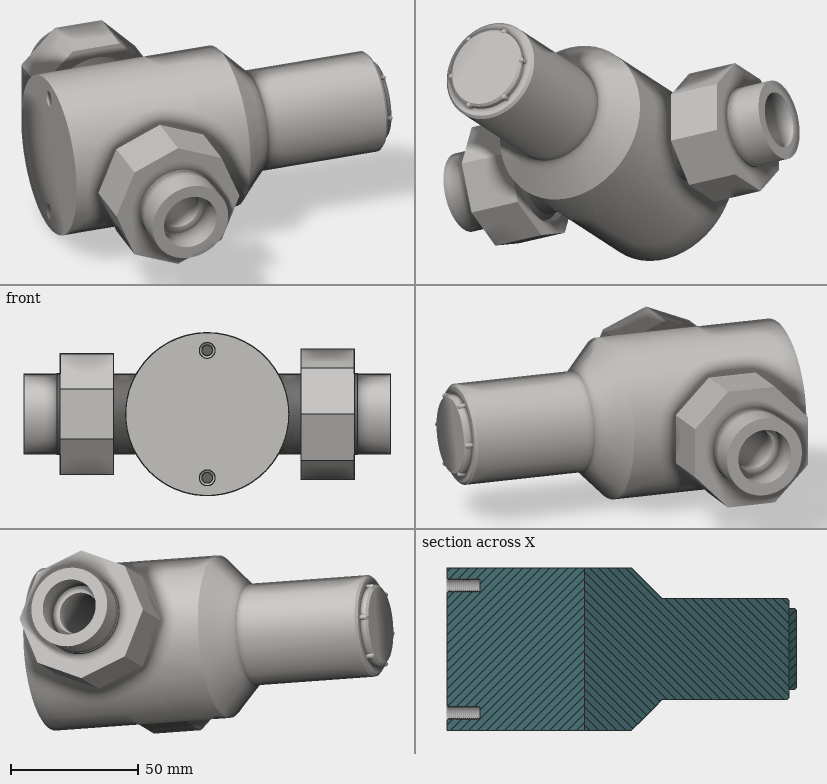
import cadquery as cq

housing_dia = 64.0
housing_radius = housing_dia / 2
housing_front = -33.0
joint_y = 21.25

thread_hole_offset = 25.0
thread_mouth_dia = 6.2
thread_major_dia = 5.0
thread_minor_dia = 4.2
thread_pitch = 0.8
thread_turns = 15

sleeve_radius = 20.0
cone_start = 39.5
cone_end = cone_start + housing_radius - sleeve_radius
sleeve_chamfer = 1.0

cap_end = 104.44
cap_height = 3.0
sleeve_end = cap_end - cap_height
cap_dia = 32.0
cap_chamfer = 0.9
rib_dia = 2.0
rib_chamfer = 0.5
rib_count = 6

nut_flats = 47.4
nut_sides = 8
nut_half_side_angle = 180 / nut_sides
nut_length = 21.0
nut_start = 36.7
nut_end = nut_start + nut_length
nut_bore = 38.4
nut_lip_bore = 32.0
nut_lip = 4.0

pipe_dia = 31.5
pipe_radius = pipe_dia / 2
port_dia = 16.54
nipple_root_x = 20.0
seat_x = 47.0
collar_dia = 35.6
collar_radius = collar_dia / 2
cone_x = nut_start
collar_x = cone_x + collar_radius - pipe_radius

tail_end = 72.0
shoulder_dia = 31.8
shoulder_end = tail_end - 13.0
socket_dia = 22.0
socket_depth = 12.5


def rod(dia, start, end):
    """Cylinder about the Y axis from y = start to y = end."""
    return cq.Workplane("XZ", origin=(0, start, 0)).circle(dia / 2).extrude(start - end)


def pipe(dia, start, end):
    """Cylinder about the X axis from x = start to x = end."""
    return cq.Workplane("YZ", origin=(start, 0, 0)).circle(dia / 2).extrude(end - start)


def make_thread_cutter():
    """Countersunk hole with ring-shaped thread grooves, about the Y axis."""
    major_radius = thread_major_dia / 2
    minor_radius = thread_minor_dia / 2
    mouth_radius = thread_mouth_dia / 2
    y = housing_front + mouth_radius - minor_radius
    profile = cq.Workplane("XY").moveTo(0, housing_front).lineTo(mouth_radius, housing_front)
    profile = profile.lineTo(minor_radius, y)
    for _ in range(thread_turns):
        profile = profile.lineTo(major_radius, y + thread_pitch / 2)
        y += thread_pitch
        profile = profile.lineTo(minor_radius, y)
    return profile.lineTo(0, y).close().revolve(360, (0, 0, 0), (0, 1, 0))


def make_housing():
    housing = rod(housing_dia, housing_front, joint_y)
    for side in (-1, 1):
        housing = housing.cut(pipe(pipe_dia, side * nipple_root_x, side * housing_radius))
        housing = housing.cut(make_thread_cutter().translate((0, 0, side * thread_hole_offset)))
    return housing


def make_bonnet():
    return (
        cq.Workplane("ZY")
        .moveTo(0, joint_y)
        .lineTo(housing_radius, joint_y)
        .lineTo(housing_radius, cone_start)
        .lineTo(sleeve_radius, cone_end)
        .lineTo(sleeve_radius, sleeve_end - sleeve_chamfer)
        .lineTo(sleeve_radius - sleeve_chamfer, sleeve_end)
        .lineTo(0, sleeve_end)
        .close()
        .revolve(360, (0, 0, 0), (0, 1, 0))
    )


def make_cap():
    disc = rod(cap_dia, sleeve_end, cap_end).faces(">Y").chamfer(cap_chamfer)
    ribs = (
        cq.Workplane("XZ", origin=(0, sleeve_end, 0))
        .polarArray(cap_dia / 2, 0, 360, rib_count)
        .circle(rib_dia / 2)
        .extrude(-cap_height)
        .faces(">Y")
        .chamfer(rib_chamfer)
    )
    return disc.union(ribs)


def make_nipple():
    """Nipple on the +X side."""
    outer = (
        cq.Workplane("XY")
        .moveTo(nipple_root_x, 0)
        .lineTo(nipple_root_x, pipe_radius)
        .lineTo(cone_x, pipe_radius)
        .lineTo(collar_x, collar_radius)
        .lineTo(seat_x, collar_radius)
        .lineTo(seat_x, 0)
        .close()
        .revolve(360, (0, 0, 0), (1, 0, 0))
    )
    return outer.cut(pipe(port_dia, nipple_root_x, seat_x))


def make_nut(turn):
    """Nut on the +X side, turned about the X axis by an angle in degrees."""
    octagon = (
        cq.Workplane("YZ", origin=(nut_start, 0, 0))
        .polygon(nut_sides, nut_flats, circumscribed=True)
        .extrude(nut_length)
        .rotate((0, 0, 0), (1, 0, 0), turn)
    )
    lip_bore = pipe(nut_lip_bore, nut_start, nut_end)
    return octagon.cut(lip_bore).cut(pipe(nut_bore, nut_start, nut_end - nut_lip))


def make_tailpiece():
    """Tailpiece on the +X side."""
    tail = pipe(pipe_dia, seat_x, tail_end)
    tail = tail.union(pipe(shoulder_dia, seat_x, shoulder_end))
    tail = tail.union(pipe(collar_dia, seat_x, nut_end - nut_lip))
    tail = tail.cut(pipe(port_dia, seat_x, tail_end))
    return tail.cut(pipe(socket_dia, tail_end - socket_depth, tail_end))


housing = make_housing()
bonnet = make_bonnet()
cap = make_cap()

right_nipple = make_nipple()
left_nipple = right_nipple.mirror("YZ")
right_tailpiece = make_tailpiece()
left_tailpiece = right_tailpiece.mirror("YZ")

right_nut = make_nut(nut_half_side_angle)
left_nut = make_nut(0).mirror("YZ")

bodies = [
    housing,
    bonnet,
    cap,
    right_nipple,
    left_nipple,
    right_nut,
    left_nut,
    right_tailpiece,
    left_tailpiece,
]
result = cq.Compound.makeCompound([body.val() for body in bodies])